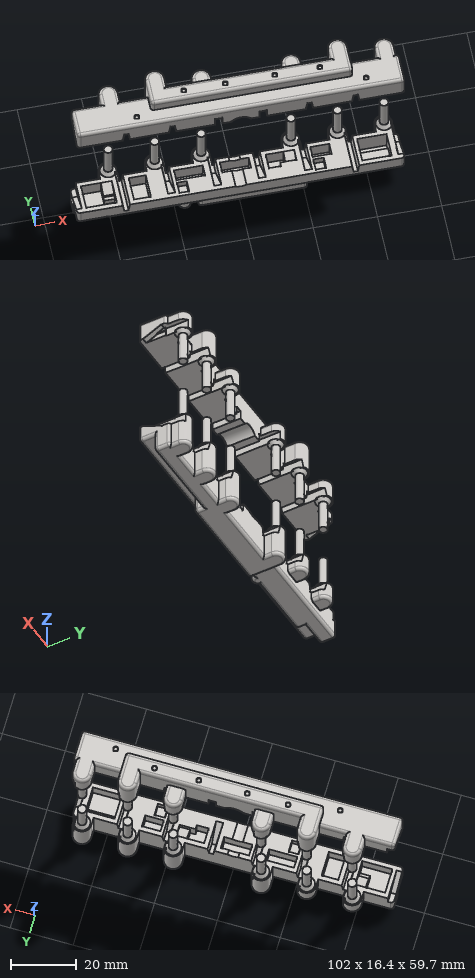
import cadquery as cq
import math

LENGTH = 102.0
DEPTH = 16.4
HEIGHT = 59.7
HALF = LENGTH / 2
ROUND = 1.0

PIN_PITCH = 14.5
LEFT_GROUP_X = -38.7
RIGHT_GROUP_X = 18.3
PIN_XS = [start + i * PIN_PITCH for start in (LEFT_GROUP_X, RIGHT_GROUP_X) for i in range(3)]
PIN_DIAMETER = 2.8
PIN_LENGTH = 11.9
CONE_RADIUS = 2.5
CONE_HEIGHT = 1.2
LOBE_RADIUS = 3.0
PIN_Y = DEPTH - LOBE_RADIUS
LOBE_ROOT_Y = 7.1

NOTCH_DEPTH = 3.1
NOTCH_MOUTH = 2.2
NOTCH_FLOOR = 1.3
SQUARE_NOTCH = 2.3
OUTER_NOTCH_XS = [-35.7, 35.7]
MIDDLE_NOTCH_XS = [-21.3, 21.3]
INNER_NOTCH_XS = [-6.9, 6.9]
SLOPE_START_Y = 1.5
SLOPE_END_Y = 8.0
END_STEP = 1.7
GROOVE_RADIUS = 3.7

UPPER_FACE = 48.7
UPPER_SLAB_TOP = 55.7
UPPER_BACK = 9.9
RIDGE_FRONT = 4.5
RIDGE_PINS = (1, 4)
UPPER_GROOVE_DEPTH = 1.6
RELIEF_Y = 8.4
RELIEF_HEIGHT = 1.8
LOW_RELIEF_DEPTH = 0.3
BACK_RELIEF_DEPTH = 0.6
HOLE_DIAMETER = 1.5
HOLE_DEPTH = 0.6
DOME_HEIGHT = 0.5
RIDGE_HOLE_Y = 7.2
RIDGE_HOLE_XS = [-16.4, -3.5, 11.9, 26.0]
SLAB_HOLE_Y = 3.2
SLAB_HOLE_XS = [-31.8, 39.6]

LOWER_FACE = 11.9
LOWER_SLAB_BOTTOM = 6.5
LOWER_BACK = 11.0
SMALL_LOBE_BOTTOM = 5.7
SHELF_BOTTOM = 2.4
RECESS_Y = 5.5
SHELF_LEFT = -41.6
STEP_FRONT = 2.4
FIRST_KEEL_PIN = 2
KEEL_RIGHT = 21.2
BOSS_X = -17.0
BOSS_RADIUS = 1.9
BOSS_FRONT = 0.9
LOWER_GROOVE_DEPTH = 0.4

LEFT_POCKET = (-47.9, -38.4)
RIGHT_POCKET = (38.0, 47.2)
L_POCKET = (9.6, 18.5)
FULL_POCKETS = [LEFT_POCKET, (-33.0, -27.7), RIGHT_POCKET]
BACK_POCKETS = [(-19.0, -10.0), (-4.7, 4.3), L_POCKET, (23.5, 29.4)]
SMALL_POCKETS = [(-19.0, -15.9), (23.5, 26.7)]
L_CORNER_X = 13.4
L_FRONT = 4.5
POCKET_BACK = 9.5
POCKET_FRONT = 1.5
MIDDLE_POCKET_FRONT = 5.8
SMALL_POCKET_FRONT = 1.1
SMALL_POCKET_BACK = 4.9
POCKET_DEPTH = 4.7
SMALL_POCKET_DEPTH = 2.3
WEDGE_WIDTH = 3.4
WEDGE_SLOPE = 0.5
WEDGE_FRONT = 5.8
WEDGE_STEP_FRONT = 4.6
WEDGE_STEP_DEPTH = 2.7
TROUGH_FRONT = 7.2
TROUGH_DEPTH = 6.4


def span(x0, x1, y0, y1, z0, z1):
    """Plain box between the given limits."""
    return cq.Workplane("XY").box(x1 - x0, y1 - y0, z1 - z0, centered=False).translate((x0, y0, z0))


def rounded_bar(x0, x1, y0, y1, z0, z1, outer_face, corners="|Z"):
    """Box with rounded upright corners and a rounded rim on its outer face."""
    bar = span(x0, x1, y0, y1, z0, z1).edges(corners).fillet(ROUND)
    return bar.faces(outer_face).edges().fillet(ROUND)


def lobe(x, z0, z1, outer_face):
    """Round-ended tongue that sticks out at the back and carries a pin."""
    tongue = (
        cq.Workplane("XY", origin=(0, 0, z0))
        .moveTo(x - LOBE_RADIUS, LOBE_ROOT_Y)
        .lineTo(x - LOBE_RADIUS, PIN_Y)
        .threePointArc((x, PIN_Y + LOBE_RADIUS), (x + LOBE_RADIUS, PIN_Y))
        .lineTo(x + LOBE_RADIUS, LOBE_ROOT_Y)
        .close()
        .extrude(z1 - z0)
    )
    return tongue.faces(outer_face).edges("not <Y").fillet(ROUND)


def pin(x, face_z, direction):
    """Pin with a conical foot, standing on a mating face; direction is +1 up or -1 down."""
    radius = PIN_DIAMETER / 2
    return (
        cq.Workplane("YZ")
        .lineTo(-CONE_RADIUS, 0)
        .lineTo(-radius, direction * CONE_HEIGHT)
        .lineTo(-radius, direction * PIN_LENGTH)
        .lineTo(0, direction * PIN_LENGTH)
        .close()
        .revolve(360, (0, 0, 0), (0, 1, 0))
        .translate((x, PIN_Y, face_z))
    )


def notch(x, face_z, inward, mouth, floor):
    """Notch across the full width of a strip; inward is the Z direction into the material."""
    outline = [
        (x - mouth / 2, face_z),
        (x - floor / 2, face_z + inward * NOTCH_DEPTH),
        (x + floor / 2, face_z + inward * NOTCH_DEPTH),
        (x + mouth / 2, face_z),
    ]
    return cq.Workplane("XZ").polyline(outline).close().extrude(-DEPTH)


def sloped_cut(x0, x1, face_z, inward):
    """Cut that is open at the back and runs out towards the front on a slope."""
    floor_z = face_z + inward * NOTCH_DEPTH
    outline = [
        (SLOPE_START_Y, face_z),
        (SLOPE_END_Y, floor_z),
        (DEPTH, floor_z),
        (DEPTH, face_z),
    ]
    return cq.Workplane("YZ", origin=(x0, 0, 0)).polyline(outline).close().extrude(x1 - x0)


def end_cuts(face_z, inward):
    """The sloped notches at both ends of a strip."""
    left = sloped_cut(-HALF, -HALF + END_STEP, face_z, inward)
    return left.union(sloped_cut(HALF - END_STEP, HALF, face_z, inward))


def end_reliefs():
    """Shallow reliefs in the inner walls of the upper end notches: one low, one at the back."""
    wall = HALF - END_STEP
    low = span(wall - LOW_RELIEF_DEPTH, HALF, SLOPE_START_Y, RELIEF_Y, UPPER_FACE, UPPER_FACE + RELIEF_HEIGHT)
    back = span(wall - BACK_RELIEF_DEPTH, HALF, RELIEF_Y, DEPTH, UPPER_FACE, UPPER_FACE + NOTCH_DEPTH)
    right = sloped_cut(wall - BACK_RELIEF_DEPTH, HALF, UPPER_FACE, 1).intersect(low.union(back))
    return right.union(right.mirror("YZ"))


def groove(face_z, inward, depth):
    """Round groove across the middle of a strip."""
    center_z = face_z + inward * (depth - GROOVE_RADIUS)
    return cq.Workplane("XZ", origin=(0, 0, center_z)).circle(GROOVE_RADIUS).extrude(-LOWER_BACK)


def domed_holes(xs, y, top_z):
    """Small shallow holes in an upper face, each with a domed floor."""
    radius = HOLE_DIAMETER / 2
    cap_radius = (radius**2 + DOME_HEIGHT**2) / (2 * DOME_HEIGHT)
    center_z = DOME_HEIGHT - HOLE_DEPTH - cap_radius
    half_angle = math.asin(radius / cap_radius) / 2
    on_dome = (cap_radius * math.sin(half_angle), center_z + cap_radius * math.cos(half_angle))
    hole = (
        cq.Workplane("XZ")
        .lineTo(radius, 0)
        .lineTo(radius, -HOLE_DEPTH)
        .threePointArc(on_dome, (0, DOME_HEIGHT - HOLE_DEPTH))
        .close()
        .revolve(360, (0, 0, 0), (0, 1, 0))
    )
    holes = cq.Workplane("XY")
    for x in xs:
        holes = holes.add(hole.translate((x, y, top_z)))
    return holes.combine()


def pocket(x0, x1, y0, y1, depth):
    """Rectangular pocket in the lower mating face."""
    return span(x0, x1, y0, y1, LOWER_FACE - depth, LOWER_FACE)


def wedge(right_x):
    """Ramp in a pocket, falling from the top of its back wall towards the front."""
    drop = WEDGE_SLOPE * (POCKET_BACK - WEDGE_FRONT)
    outline = [
        (POCKET_BACK, LOWER_FACE),
        (WEDGE_FRONT, LOWER_FACE - drop),
        (WEDGE_FRONT, LOWER_FACE - WEDGE_STEP_DEPTH),
        (WEDGE_STEP_FRONT, LOWER_FACE - WEDGE_STEP_DEPTH),
        (WEDGE_STEP_FRONT, LOWER_FACE - POCKET_DEPTH),
        (POCKET_BACK, LOWER_FACE - POCKET_DEPTH),
    ]
    ramp = cq.Workplane("YZ", origin=(right_x - WEDGE_WIDTH, 0, 0)).polyline(outline).close()
    return ramp.extrude(WEDGE_WIDTH)


def make_upper_strip():
    ridge_left = PIN_XS[RIDGE_PINS[0]] - LOBE_RADIUS
    ridge_right = PIN_XS[RIDGE_PINS[1]] + LOBE_RADIUS
    body = rounded_bar(-HALF, HALF, 0, UPPER_BACK, UPPER_FACE, UPPER_SLAB_TOP, ">Z")
    body = body.union(
        rounded_bar(ridge_left, ridge_right, RIDGE_FRONT, UPPER_BACK, UPPER_FACE + NOTCH_DEPTH, HEIGHT,
                    ">Z", "|Z and <Y")
    )
    for i, x in enumerate(PIN_XS):
        top = HEIGHT if i in RIDGE_PINS else UPPER_SLAB_TOP
        body = body.union(lobe(x, UPPER_FACE, top, ">Z"))

    for x in OUTER_NOTCH_XS + MIDDLE_NOTCH_XS:
        body = body.cut(notch(x, UPPER_FACE, 1, NOTCH_MOUTH, NOTCH_FLOOR))
    for x in INNER_NOTCH_XS:
        body = body.cut(notch(x, UPPER_FACE, 1, SQUARE_NOTCH, SQUARE_NOTCH))
    body = body.cut(end_cuts(UPPER_FACE, 1))
    body = body.cut(end_reliefs())
    body = body.cut(groove(UPPER_FACE, 1, UPPER_GROOVE_DEPTH))
    body = body.cut(domed_holes(RIDGE_HOLE_XS, RIDGE_HOLE_Y, HEIGHT))
    body = body.cut(domed_holes(SLAB_HOLE_XS, SLAB_HOLE_Y, UPPER_SLAB_TOP))

    for x in PIN_XS:
        body = body.union(pin(x, UPPER_FACE, -1))
    return body


def make_lower_steps():
    """The stepped ribs under the lower slab."""
    keel_left = PIN_XS[FIRST_KEEL_PIN] - LOBE_RADIUS
    base = LOWER_FACE - NOTCH_DEPTH
    shelf_end = rounded_bar(-HALF, 0, RECESS_Y, LOWER_BACK, SHELF_BOTTOM, base, "<Z")
    shelf = rounded_bar(SHELF_LEFT, 0, STEP_FRONT, LOWER_BACK, SHELF_BOTTOM, base, "<Z")
    keel = rounded_bar(keel_left, KEEL_RIGHT, STEP_FRONT, LOWER_BACK, 0, base, "<Z", "|Z and <Y")
    tail = rounded_bar(keel_left, HALF, RECESS_Y, LOWER_BACK, 0, base, "<Z", "|Z and >X")
    boss = (
        cq.Workplane("XY", origin=(BOSS_X, BOSS_FRONT + BOSS_RADIUS, SHELF_BOTTOM))
        .circle(BOSS_RADIUS)
        .extrude(base - SHELF_BOTTOM)
        .faces("<Z")
        .edges()
        .fillet(ROUND)
    )
    return shelf_end.union(shelf).union(boss).union(keel).union(tail)


def cut_lower_pockets(body):
    for x0, x1 in FULL_POCKETS:
        body = body.cut(pocket(x0, x1, POCKET_FRONT, POCKET_BACK, POCKET_DEPTH))
    for x0, x1 in BACK_POCKETS:
        body = body.cut(pocket(x0, x1, MIDDLE_POCKET_FRONT, POCKET_BACK, POCKET_DEPTH))
    for x0, x1 in SMALL_POCKETS:
        body = body.cut(pocket(x0, x1, SMALL_POCKET_FRONT, SMALL_POCKET_BACK, SMALL_POCKET_DEPTH))

    l_left, l_right = L_POCKET
    body = body.cut(pocket(l_left, L_CORNER_X, L_FRONT, POCKET_BACK, POCKET_DEPTH))
    body = body.cut(pocket(*RIGHT_POCKET, TROUGH_FRONT, POCKET_BACK, TROUGH_DEPTH))

    l_wedge = wedge(l_right).intersect(
        pocket(l_left, l_right, MIDDLE_POCKET_FRONT, POCKET_BACK, POCKET_DEPTH)
    )
    return body.union(wedge(LEFT_POCKET[1])).union(l_wedge)


def make_lower_strip():
    body = rounded_bar(-HALF, HALF, 0, LOWER_BACK, LOWER_SLAB_BOTTOM, LOWER_FACE, "<Z")
    body = body.union(make_lower_steps())
    for i, x in enumerate(PIN_XS):
        bottom = SMALL_LOBE_BOTTOM if i < FIRST_KEEL_PIN else 0
        body = body.union(lobe(x, bottom, LOWER_FACE, "<Z"))

    for x in OUTER_NOTCH_XS:
        body = body.cut(notch(x, LOWER_FACE, -1, NOTCH_MOUTH, NOTCH_FLOOR))
    for x in MIDDLE_NOTCH_XS + INNER_NOTCH_XS:
        run_out = sloped_cut(x - NOTCH_MOUTH / 2, x + NOTCH_MOUTH / 2, LOWER_FACE, -1)
        body = body.cut(run_out.intersect(notch(x, LOWER_FACE, -1, NOTCH_MOUTH, NOTCH_FLOOR)))
    body = body.cut(end_cuts(LOWER_FACE, -1))
    body = cut_lower_pockets(body)
    body = body.cut(groove(LOWER_FACE, -1, LOWER_GROOVE_DEPTH))

    for x in PIN_XS:
        body = body.union(pin(x, LOWER_FACE, 1))
    return body


upper_strip = make_upper_strip()
lower_strip = make_lower_strip()
result = cq.Compound.makeCompound([upper_strip.val(), lower_strip.val()])